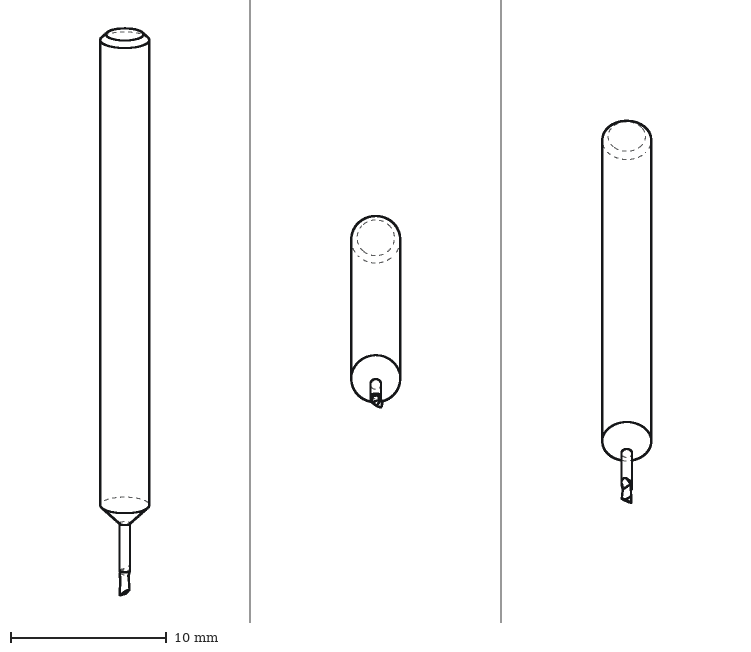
import cadquery as cq

total_length = 38.1
shank_radius = 1.58
shank_chamfer = 0.4
neck_radius = 0.35
shank_bottom = 6.05
cone_bottom = shank_bottom - (shank_radius - neck_radius)

head_top = 1.6
head_top_radius = 0.3
head_radius = 0.42
flare_bottom = 0.42
tip_x = -0.285
edge_rise = 0.05
tooth_bottom = 0.45
tooth_top = 0.7
heel_x = 0.08
heel_height = 0.42

flank_y = -0.4
flank_top = 1.22

face_angle = 10.0
ramp_bottom = 1.3
ramp_top = 1.83

cutter_reach = 2 * head_radius


def make_body():
    """Chamfered shank, 45 degree cone and slender neck, turned about Z."""
    return (
        cq.Workplane("XZ")
        .moveTo(0, head_top)
        .lineTo(neck_radius, head_top)
        .lineTo(neck_radius, cone_bottom)
        .lineTo(shank_radius, shank_bottom)
        .lineTo(shank_radius, total_length - shank_chamfer)
        .lineTo(shank_radius - shank_chamfer, total_length)
        .lineTo(0, total_length)
        .close()
        .revolve(360, (0, 0, 0), (0, 1, 0))
    )


def make_head():
    """Flared round head trimmed to a pointed end edge and a sloping heel."""
    flared_blank = (
        cq.Workplane("XZ")
        .polyline([
            (0, 0),
            (head_radius, 0),
            (head_radius, flare_bottom),
            (head_top_radius, head_top),
            (0, head_top),
        ])
        .close()
        .revolve(360, (0, 0, 0), (0, 1, 0))
    )
    side_outline = (
        cq.Workplane("XZ")
        .polyline([
            (tip_x, 0),
            (heel_x, edge_rise),
            (head_radius, heel_height),
            (head_radius, head_top),
            (-head_top_radius, head_top),
            (-head_top_radius, tooth_top),
            (-head_radius, tooth_bottom),
            (-head_radius, edge_rise),
        ])
        .close()
        .extrude(head_radius, both=True)
    )
    return flared_blank.intersect(side_outline)


def make_flank_cut():
    """Flat side relief behind the cutting edge."""
    return (
        cq.Workplane("XY")
        .polyline([(-head_radius, 0), (0, flank_y), (0, -cutter_reach), (-cutter_reach, 0)])
        .close()
        .extrude(flank_top)
    )


def make_face_cut():
    """Angled cutting face through the axis, running out of the neck up a ramp."""
    ramp_slope = (ramp_top - ramp_bottom) / neck_radius
    runout_top = ramp_bottom + ramp_slope * cutter_reach
    return (
        cq.Workplane("YZ")
        .polyline([(0, 0), (0, ramp_bottom), (cutter_reach, runout_top), (cutter_reach, 0)])
        .close()
        .extrude(cutter_reach, both=True)
        .rotate((0, 0, 0), (0, 0, 1), face_angle)
    )


result = make_body().union(make_head()).cut(make_flank_cut()).cut(make_face_cut())